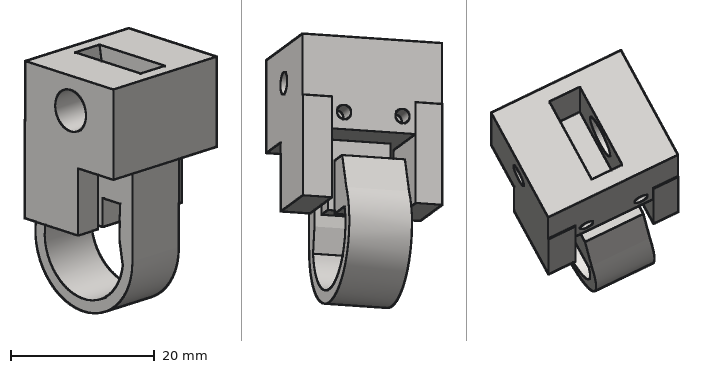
import cadquery as cq
import math

ring_radius = 9.6
ring_wall = 1.87
bore_radius = ring_radius - ring_wall

total_height = 36.65
total_length = 20.93
block_width = 20.3
block_top = total_height - ring_radius
block_bottom = 13.78
block_right = total_length - ring_radius
block_left = -6.1
half_width = block_width / 2

leg_left = -6.2
leg_right = 4.4
leg_top = 18.32
leg_bottom = 3.92
back_leg_width = 4.25
front_leg_width = 3.9

band_back = 4.45
band_front = -4.7
band_middle = (band_back + band_front) / 2
hook_top = 10.05
hook_bottom = 2.45
hook_right = -2.6
slant_bottom = 5.0
arm_inner_top = 7.15
arm_inner_waist = 7.0
waist_height = 2.7
arm_blend_height = -1.0
arm_underside = 7.95
nub_left = 0.62
nub_right = 3.75
nub_bottom = 3.7

slot_left = -3.85
slot_right = 9.1
slot_floor_left = -2.0
slot_floor = 16.8
slot_back = 2.2
slot_front = -2.55

cross_x = 2.9
cross_z = 21.9
cross_diameter = 3.2
counterbore_diameter = 6.1
pin_diameter = 2.05
pin_depth = 3.65
pin_z = 16.25
pin_offset = 4.25


def box(x_range, y_range, z_range):
    """Box between the given limits on each axis."""
    size = [high - low for low, high in (x_range, y_range, z_range)]
    corner = (x_range[0], y_range[0], z_range[0])
    return cq.Workplane("XY").box(*size, centered=False).translate(corner)


def prism(outline, y_front, y_back):
    """Extrude a closed XZ outline from y_front to y_back."""
    return outline.extrude(y_front - y_back).translate((0, y_front, 0))


def bore(diameter, y_front, y_back):
    """Cylinder along Y on the cross hole axis."""
    return prism(cq.Workplane("XZ").center(cross_x, cross_z).circle(diameter / 2), y_front, y_back)


def circle_x(radius, z):
    """Distance from the ring axis in X of a circle at height z."""
    return math.sqrt(radius**2 - z**2)


def make_block():
    block = box((block_left, block_right), (-half_width, half_width), (block_bottom, block_top))
    for y_range in (
        (-half_width, -half_width + front_leg_width),
        (half_width - back_leg_width, half_width),
    ):
        block = block.union(box((leg_left, leg_right), y_range, (leg_bottom, leg_top)))
    return block


def make_band():
    outline = (
        cq.Workplane("XZ")
        .moveTo(leg_left, hook_top)
        .lineTo(-circle_x(ring_radius, slant_bottom), slant_bottom)
        .threePointArc((0, -ring_radius), (ring_radius, 0))
        .lineTo(ring_radius, block_bottom)
        .lineTo(nub_left, block_bottom)
        .lineTo(nub_left, nub_bottom)
        .lineTo(nub_right, nub_bottom)
        .lineTo(nub_right, arm_underside)
        .lineTo(arm_inner_top, arm_underside)
        .lineTo(arm_inner_waist, waist_height)
        .lineTo(circle_x(bore_radius, arm_blend_height), arm_blend_height)
        .threePointArc((0, -bore_radius), (-circle_x(bore_radius, hook_bottom), hook_bottom))
        .lineTo(hook_right, hook_bottom)
        .lineTo(hook_right, hook_top)
        .close()
    )
    return prism(outline, band_front, band_back)


def make_slot():
    outline = cq.Workplane("XZ").polyline([
        (slot_left, block_top),
        (slot_right, block_top),
        (slot_right, slot_floor),
        (slot_floor_left, slot_floor),
    ]).close()
    return prism(outline, slot_front, slot_back)


def make_pin_holes():
    return (
        cq.Workplane("YZ", origin=(block_left, band_middle, pin_z))
        .pushPoints([(-pin_offset, 0), (pin_offset, 0)])
        .circle(pin_diameter / 2)
        .extrude(pin_depth)
    )


result = (
    make_block()
    .union(make_band())
    .cut(make_slot())
    .cut(bore(counterbore_diameter, -half_width, slot_front))
    .cut(bore(cross_diameter, slot_back, half_width))
    .cut(make_pin_holes())
)